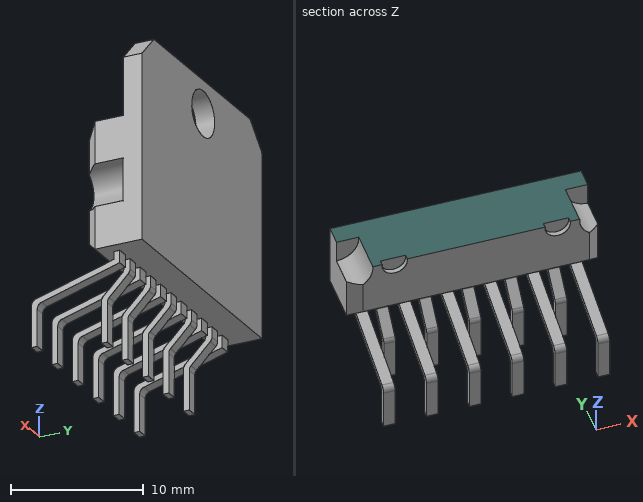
import cadquery as cq
import math

width = 20.0
height = 24.0

tab_thickness = 1.6
tab_corner_chamfer = 2.0
hole_diameter = 3.8
hole_offset_x = -0.2
hole_below_top = 2.8

body_bottom = 6.53
body_height = 10.65
body_depth = 5.0
body_chamfer = 1.0
body_middle = body_bottom + body_height / 2
notch_diameter = 3.55
dimple_diameter = 2.0
dimple_spacing = 12.95
dimple_depth = 0.4

lead_count = 11
lead_width = 0.94
lead_thickness = 0.5
lead_pitch = 1.7
lead_root_front = 2.9
lead_embed = 0.95
long_lead_front = 9.9
long_lead_slope = 16.0
long_lead_bend_z = 5.88
short_lead_front = 4.82
short_lead_slope = 45.5
short_lead_bend_z = 5.66
bend_radius = 0.53


def make_tab():
    tab = (
        cq.Workplane("XY")
        .box(width, tab_thickness, height - body_bottom, centered=(True, False, False))
        .translate((0, -tab_thickness, body_bottom))
        .edges("|Y and >Z")
        .chamfer(tab_corner_chamfer)
    )
    hole = front_cylinder(hole_diameter, hole_offset_x, height - hole_below_top, 0, tab_thickness)
    return tab.cut(hole)


def front_cylinder(diameter, x, z, start_depth, end_depth):
    """Cylinder along Y between two depths measured forward from the back face."""
    return (
        cq.Workplane("XZ", origin=(x, -start_depth, z))
        .circle(diameter / 2)
        .extrude(end_depth - start_depth)
    )


def make_body():
    body = (
        cq.Workplane("XY")
        .box(width, body_depth, body_height, centered=(True, False, False))
        .translate((0, -body_depth, body_bottom))
        .faces("<Y")
        .chamfer(body_chamfer)
    )
    for side in (-1, 1):
        notch_x = side * width / 2
        dimple_x = side * dimple_spacing / 2
        dimple_floor = body_depth - dimple_depth
        body = body.cut(front_cylinder(notch_diameter, notch_x, body_middle, tab_thickness, body_depth))
        body = body.cut(front_cylinder(dimple_diameter, dimple_x, body_middle, dimple_floor, body_depth))
    return body


def make_lead(x, tip_front, slope, bend_z, round_upper_bend):
    """Bent strip: down out of the body, forward at a slope below horizontal, then down to the tip.

    bend_z is the height of the upper bend on the front side; the lower bend is always rounded.
    """
    root_back = lead_root_front - lead_thickness
    tip_back = tip_front - lead_thickness
    root_top = body_bottom + lead_embed
    knee_z = bend_z - (tip_front - lead_root_front) * math.tan(math.radians(slope))
    mitre_drop = lead_thickness * math.tan(math.radians((90 - slope) / 2))
    outline = [
        (-lead_root_front, root_top),
        (-lead_root_front, bend_z),
        (-tip_front, knee_z),
        (-tip_front, 0),
        (-tip_back, 0),
        (-tip_back, knee_z - mitre_drop),
        (-root_back, bend_z - mitre_drop),
        (-root_back, root_top),
    ]
    bend_top = (bend_z if round_upper_bend else knee_z) + lead_thickness / 2
    rounded_corners = cq.selectors.BoxSelector(
        (x - lead_width, -tip_front - lead_thickness, lead_thickness),
        (x + lead_width, 0, bend_top),
    )
    return (
        cq.Workplane("YZ", origin=(x - lead_width / 2, 0, 0))
        .polyline(outline)
        .close()
        .extrude(lead_width)
        .edges("|X")
        .edges(rounded_corners)
        .fillet(bend_radius)
    )


result = make_tab().union(make_body())
for index in range(lead_count):
    lead_x = (index - (lead_count - 1) / 2) * lead_pitch
    if index % 2 == 0:
        lead = make_lead(lead_x, long_lead_front, long_lead_slope, long_lead_bend_z, False)
    else:
        lead = make_lead(lead_x, short_lead_front, short_lead_slope, short_lead_bend_z, True)
    result = result.union(lead)